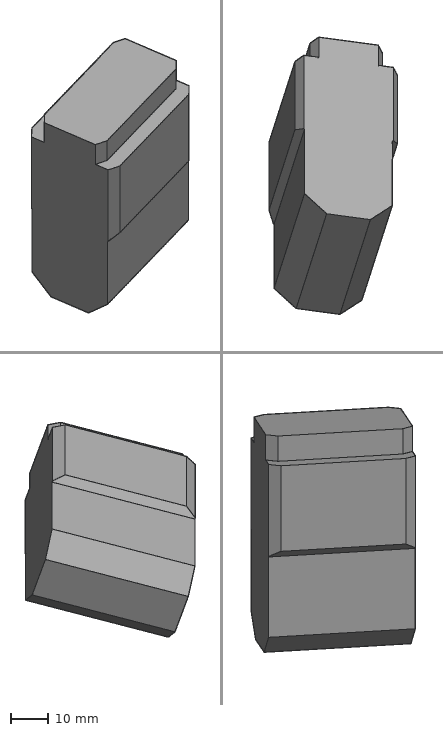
import cadquery as cq

width = 28.0
depth = 40.0
height = 61.5

cap_width = 19.8
cap_height = 7.1

bevel_x = 1.8
bevel_y = 3.0

body_width = 24.0
foot_chamfer = 6.0
head_bottom = 30.5

slope = (width - body_width) / 2
slope_bottom = head_bottom - slope
shoulder = height - cap_height


def beveled_block(block_width, bottom, top):
    """Block with its four vertical edges bevelled."""
    x = block_width / 2
    y = depth / 2
    outline = [
        (x, y - bevel_y), (x - bevel_x, y),
        (-x + bevel_x, y), (-x, y - bevel_y),
        (-x, -y + bevel_y), (-x + bevel_x, -y),
        (x - bevel_x, -y), (x, -y + bevel_y),
    ]
    return cq.Workplane("XY").workplane(offset=bottom).polyline(outline).close().extrude(top - bottom)


def head_envelope():
    """Full-depth profile that slopes the underside of the head."""
    half = width / 2
    profile = [
        (-half, shoulder), (-half, head_bottom), (-half + slope, slope_bottom),
        (half - slope, slope_bottom), (half, head_bottom), (half, shoulder),
    ]
    return cq.Workplane("XZ").polyline(profile).close().extrude(depth / 2, both=True)


body = (
    cq.Workplane("XY")
    .box(body_width, depth, shoulder, centered=(True, True, False))
    .edges("|Y and <Z")
    .chamfer(foot_chamfer)
)

head = beveled_block(width, slope_bottom, shoulder).intersect(head_envelope())
cap = beveled_block(cap_width, shoulder, height)

result = body.union(head).union(cap).clean()